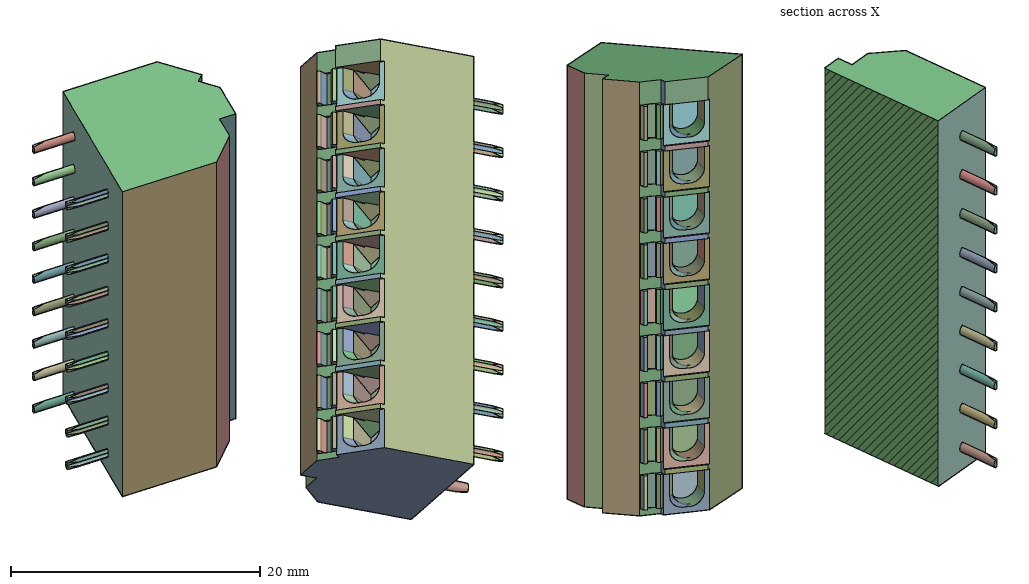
import math

import cadquery as cq

pole_count = 9
pitch = 3.81
end_plate = 1.5
total_depth = 15.56
body_width = 12.0
body_depth = 11.75
body_height = pole_count * pitch + end_plate

flank_depth = 8.24
shelf_depth = 10.33
shelf_start = 7.75
shelf_end = 9.77
peak_x = 2.72
peak_y = flank_depth + peak_x
notch_x = 3.26
notch_y = peak_y - (notch_x - peak_x)
lever_slope_base = notch_y - notch_x
land_start = body_depth - lever_slope_base

rib_height = 0.41
recess_height = pitch - rib_height
recess_drop = 0.33
overcut = 1.0
recess_base = flank_depth - recess_drop

mouth_half_width = 1.0
hole_half_width = 1.29
wire_bottom_sag = 1.0
wire_centre_drop = 1.94
mouth_wall_y = 10.41
mouth_angle = 84
bend_y = 9.42
hole_angle = 58
hole_depth = 2.5
hole_roof_drop = 0.5
hole_roof_run = 0.75
cutter_lead = 3.0

lever_height = 2.82
lever_tip_y = 12.01
lever_tip_x = 4.11
lever_nose_x = 3.93
lever_nose_mid_x = 3.95
lever_nose_mid_y = 11.9
lever_nose_lower_y = 11.71
lever_shoulder_x = 4.52
lever_face_angle = 24
groove_floor_y = 11.0
bump_top_y = 11.08
bump_left_x = 3.03
bump_right_x = 3.4
bump_foot_x = 3.6
bump_heel = 0.3

pin_length = total_depth - lever_tip_y
pin_root = 1.0
pin_row_x = 2.0
pin_row_spacing = 7.2
pin_top_offset = 3.1
pin_thickness = 0.49
pin_half_height = 0.49
pin_shoulder_x = 0.15
pin_lip_z = 0.2
pin_groove_x = 0.14
pin_tip_length = 1.05
pin_tip_relief = 0.12


def prism(points, bottom, height):
    return cq.Workplane("XY").workplane(offset=bottom).polyline(points).close().extrude(height)


def make_body():
    outline = [
        (0, 0),
        (body_width, 0),
        (body_width, flank_depth),
        (shelf_end, shelf_depth),
        (shelf_start, shelf_depth),
        (shelf_start, body_depth),
        (land_start, body_depth),
        (notch_x, notch_y),
        (peak_x, peak_y),
        (0, flank_depth),
    ]
    return prism(outline, 0, body_height)


def make_recess(bottom):
    """Slab cut parallel to the wire slope, from the side wall to the notch."""
    outline = [
        (0, recess_base),
        (peak_x + overcut, peak_y - recess_drop + overcut),
        (peak_x, peak_y + overcut),
        (0, flank_depth + overcut),
        (-overcut, flank_depth),
        (-overcut, recess_base - overcut),
    ]
    notch_side = [
        (notch_x, notch_y),
        (notch_x + cutter_lead, notch_y + cutter_lead),
        (notch_x + cutter_lead, notch_y - cutter_lead),
    ]
    return prism(outline, bottom, recess_height).cut(prism(notch_side, bottom, recess_height))


def round_bottom_cutter(wall_point, angle, half_width, length, centre_z, roof_z):
    """Upright slot with a rounded bottom whose +Y wall starts at wall_point and runs at angle."""
    run = (math.cos(math.radians(angle)), -math.sin(math.radians(angle)))
    axis_x = wall_point[0] + half_width * run[1] - cutter_lead * run[0]
    axis_y = wall_point[1] - half_width * run[0] - cutter_lead * run[1]
    plane = cq.Plane(origin=(axis_x, axis_y, centre_z), xDir=(-run[1], run[0], 0), normal=(run[0], run[1], 0))
    roof = roof_z - centre_z
    return (
        cq.Workplane(plane)
        .moveTo(-half_width, roof)
        .lineTo(-half_width, 0)
        .threePointArc((0, -wire_bottom_sag), (half_width, 0))
        .lineTo(half_width, roof)
        .close()
        .extrude(length + cutter_lead)
    )


def make_wire_entry(roof_z):
    centre_z = roof_z - wire_centre_drop
    mouth_point = (mouth_wall_y - recess_base, mouth_wall_y)
    mouth_run = (mouth_wall_y - bend_y) / math.tan(math.radians(mouth_angle))
    bend_point = (mouth_point[0] + mouth_run, bend_y)
    mouth_length = mouth_wall_y - bend_y + mouth_half_width
    mouth = round_bottom_cutter(mouth_point, mouth_angle, mouth_half_width, mouth_length, centre_z, roof_z)
    hole = round_bottom_cutter(bend_point, hole_angle, hole_half_width, hole_depth, centre_z, roof_z)
    fall = hole_roof_drop * hole_depth / hole_roof_run
    roof_wedge = (
        cq.Workplane("XZ")
        .moveTo(bend_point[0], roof_z)
        .lineTo(bend_point[0] + hole_depth, roof_z)
        .lineTo(bend_point[0] + hole_depth, roof_z - fall)
        .close()
        .extrude(-body_depth)
    )
    return mouth.union(hole.cut(roof_wedge))


def lever_face_x(y):
    return lever_nose_x + (lever_nose_lower_y - y) * math.tan(math.radians(lever_face_angle))


def make_lever(bottom):
    outline = (
        cq.Workplane("XY")
        .workplane(offset=bottom)
        .moveTo(lever_face_x(groove_floor_y), groove_floor_y)
        .lineTo(lever_nose_x, lever_nose_lower_y)
        .threePointArc((lever_nose_mid_x, lever_nose_mid_y), (lever_tip_x, lever_tip_y))
        .lineTo(lever_shoulder_x, lever_shoulder_x + lever_slope_base)
    )
    return outline.close().extrude(lever_height)


def make_bump(bottom):
    outline = [
        (notch_x, notch_y),
        (bump_foot_x, bump_foot_x + lever_slope_base),
        (bump_right_x, bump_top_y),
        (bump_left_x, bump_top_y),
        (notch_x - bump_heel, notch_y + bump_heel),
    ]
    return prism(outline, bottom, lever_height)


def make_lever_groove(bottom):
    """Pocket under the lever face, between it and the bump."""
    outline = [
        (bump_foot_x, bump_foot_x + lever_slope_base),
        (lever_face_x(groove_floor_y), groove_floor_y),
        (lever_nose_x, lever_nose_lower_y),
    ]
    return prism(outline, bottom, lever_height)


def make_pin(lip_x, side, z):
    """Pin with a rounded back and a grooved face; side is the X direction from lips to back."""
    section = (
        cq.Workplane("XZ", origin=(lip_x, pin_root, z))
        .moveTo(0, pin_lip_z)
        .lineTo(side * pin_shoulder_x, pin_half_height)
        .threePointArc((side * pin_thickness, 0), (side * pin_shoulder_x, -pin_half_height))
        .lineTo(0, -pin_lip_z)
        .threePointArc((side * pin_groove_x, 0), (0, pin_lip_z))
        .close()
    )
    pin = section.extrude(pin_root + pin_length)
    tip_half = pin_half_height - pin_tip_relief
    tip_start = pin_tip_length - pin_length
    height_taper = (
        cq.Workplane("YZ", origin=(lip_x, 0, z))
        .moveTo(pin_root, pin_half_height)
        .lineTo(tip_start, pin_half_height)
        .lineTo(-pin_length, tip_half)
        .lineTo(-pin_length, -tip_half)
        .lineTo(tip_start, -pin_half_height)
        .lineTo(pin_root, -pin_half_height)
        .close()
        .extrude(side * pin_thickness)
    )
    lip_relief = (
        cq.Workplane("XY", origin=(lip_x, 0, z - pin_half_height))
        .moveTo(0, tip_start)
        .lineTo(side * pin_tip_relief, -pin_length)
        .lineTo(0, -pin_length)
        .close()
        .extrude(2 * pin_half_height)
    )
    return pin.intersect(height_taper).cut(lip_relief)


result = make_body()
for pole in range(pole_count):
    recess_bottom = pole * pitch
    recess_top = recess_bottom + recess_height
    lever_bottom = recess_top - lever_height
    pin_z = body_height - pin_top_offset - pole * pitch
    result = result.cut(make_recess(recess_bottom))
    result = result.cut(make_wire_entry(recess_top))
    result = result.cut(make_lever_groove(lever_bottom))
    result = result.union(make_lever(lever_bottom))
    result = result.union(make_bump(lever_bottom))
    result = result.union(make_pin(pin_row_x, 1, pin_z))
    result = result.union(make_pin(pin_row_x + pin_row_spacing, -1, pin_z))